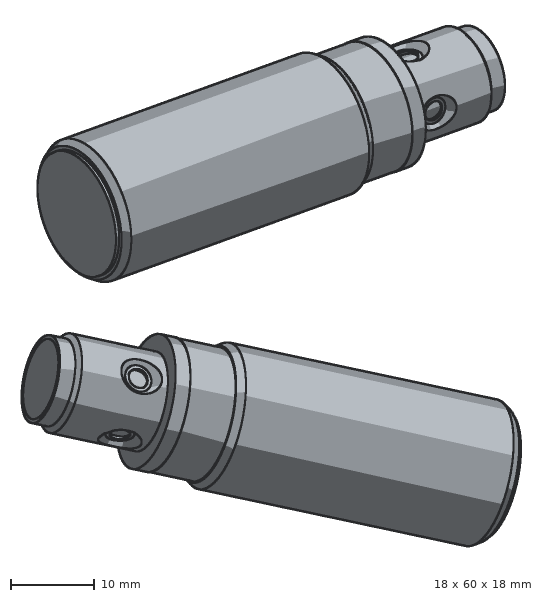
import cadquery as cq

total_length = 60.0

cap_radius = 7.9
cap_thickness = 0.5

barrel_radius = 9.0
barrel_end_radius = 8.4
barrel_chamfer_length = 1.0
collar_radius = 8.2
barrel_rear_y = 38.05
collar_rear_y = 44.05

flange_radius = 8.3
flange_thickness = 2.0
sleeve_radius = 6.1
stub_radius = 5.4
stub_length = 2.05
sleeve_chamfer_length = 0.55

guide_radius = 4.9

window_count = 4
window_y = 49.5
window_bore_radius = 1.25
seat_radius = 1.75
seat_height = 5.15
countersink_slope = 1.0
cutter_clearance = 0.3


def revolve_profile(points):
    """Solid of revolution about the Y axis from (radius, y) points."""
    return cq.Workplane("XY").polyline(points).close().revolve(360, (0, 0, 0), (0, 1, 0))


def make_cap():
    return revolve_profile([(0, 0), (cap_radius, 0), (cap_radius, cap_thickness), (0, cap_thickness)])


def make_housing():
    return revolve_profile([
        (0, cap_thickness),
        (barrel_end_radius, cap_thickness),
        (barrel_radius, cap_thickness + barrel_chamfer_length),
        (barrel_radius, barrel_rear_y - barrel_chamfer_length),
        (barrel_end_radius, barrel_rear_y),
        (collar_radius, barrel_rear_y),
        (collar_radius, collar_rear_y),
        (0, collar_rear_y),
    ])


def make_window_cutter():
    """Tool along +Z: a narrow bore that opens into a countersink with a flat floor."""
    mouth_height = sleeve_radius + cutter_clearance
    mouth_radius = seat_radius + countersink_slope * (mouth_height - seat_height)
    profile = [
        (0, 0),
        (window_bore_radius, 0),
        (window_bore_radius, seat_height),
        (seat_radius, seat_height),
        (mouth_radius, mouth_height),
        (0, mouth_height),
    ]
    cutter = cq.Workplane("XZ").polyline(profile).close().revolve(360, (0, 0, 0), (0, 1, 0))
    return cutter.translate((0, window_y, 0))


def make_plug():
    flange_rear_y = collar_rear_y + flange_thickness
    stub_front_y = total_length - stub_length
    plug = revolve_profile([
        (guide_radius, collar_rear_y),
        (flange_radius, collar_rear_y),
        (flange_radius, flange_rear_y),
        (sleeve_radius, flange_rear_y),
        (sleeve_radius, stub_front_y - sleeve_chamfer_length),
        (stub_radius, stub_front_y),
        (stub_radius, total_length),
        (guide_radius, total_length),
    ])
    for index in range(window_count):
        turn = index * 360 / window_count
        plug = plug.cut(make_window_cutter().rotate((0, 0, 0), (0, 1, 0), turn))
    return plug


def make_light_guide():
    return revolve_profile([
        (0, collar_rear_y),
        (guide_radius, collar_rear_y),
        (guide_radius, total_length),
        (0, total_length),
    ])


cap = make_cap()
housing = make_housing()
plug = make_plug()
light_guide = make_light_guide()

result = cq.Compound.makeCompound([cap.val(), housing.val(), plug.val(), light_guide.val()])